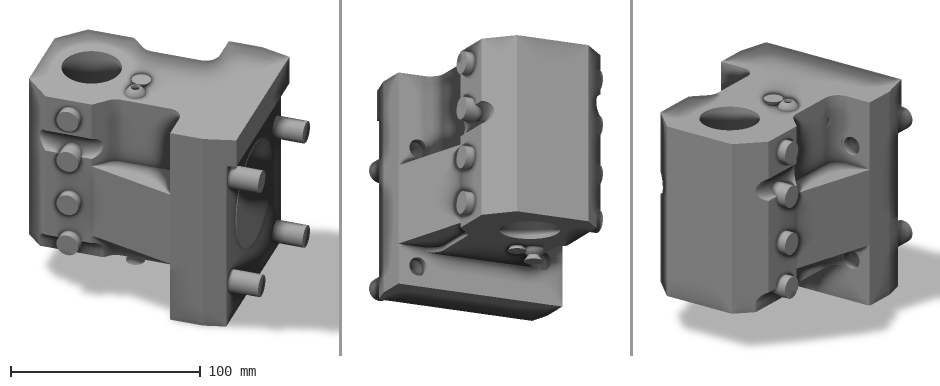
import cadquery as cq
import math

top_z = 116.5
body_bottom_z = 19.3
body_half_width = 34.8
nose_chamfer = 13.9

plate_front_x = 87.9
plate_taper_x = 106.2
plate_back_x = 118.1
plate_width = 96.0
plate_half_width = plate_width / 2
hook_back_x = 123.3
hook_bottom_z = 100.0
hook_half_width = 43.6

bore_x = 27.8
bore_diameter = 32.0

neck_start_x = 39.7
neck_half_width = 25.2
pocket_radius = 8.0

rib_height = 43.2
near_rib_bottom_z = 34.8
side_offset = 12.8

bolt_y = 36.5
bolt_diameter = 12.2
bolt_end_x = 135.0
near_bolt_heights = (23.8, 88.8)
far_bolt_heights = tuple(z - side_offset for z in near_bolt_heights)
bolt_hole_diameter = 10.1
bolt_hole_depth = 4.9
drill_point_height = 3.0
groove_radius = 6.5

seat_radius = 29.7
seat_height = 0.4
joint_overlap = 1.4

clamp_screw_diameter = 12.2
clamp_screw_projection = 5.1
clamp_screw_heights = (29.3, 54.4, 81.4, 106.5)
screw_embedment = 8.1

dowel_x = 79.9
dowel_z = 102.3
dowel_radius = 3.0

nozzle_x = 57.9
ball_y = -16.6
plug_y = -7.0
ball_radius = 5.8
ball_projection = 3.5
ball_flat_radius = 3.0
socket_radius = 2.4
socket_depth = 2.7
cone_rim_radius = 5.1
plug_root_radius = 3.5
top_plug_height = 2.8
bottom_plug_height = 2.3
ball_cone_height = 3.2


def plan_prism(points, bottom, top):
    """Extrude a closed plan outline between two heights."""
    return cq.Workplane("XY", origin=(0, 0, bottom)).polyline(points).close().extrude(top - bottom)


def rod_along_x(x_start, x_end, y, z, radius):
    return cq.Workplane("YZ", origin=(x_start, y, z)).circle(radius).extrude(x_end - x_start)


def cone_along_z(y, z, root_radius, rim_radius, height, direction):
    """Cone standing on height z, growing up (+1) or down (-1)."""
    solid = cq.Solid.makeCone(
        root_radius, rim_radius, height, cq.Vector(nozzle_x, y, z), cq.Vector(0, 0, direction)
    )
    return cq.Workplane(obj=solid)


def clamping_body():
    """Chamfered block with a waist between the clamping end and the flange."""
    waist_step = body_half_width - neck_half_width
    nose_half_width = body_half_width - nose_chamfer
    outline = [
        (0, -nose_half_width),
        (nose_chamfer, -body_half_width),
        (neck_start_x, -body_half_width),
        (neck_start_x + waist_step, -neck_half_width),
        (plate_front_x, -neck_half_width),
        (plate_front_x, -plate_half_width),
        (plate_taper_x, -plate_half_width),
    ]
    mirrored = [(x, -y) for x, y in reversed(outline)]
    body = plan_prism(outline + mirrored, body_bottom_z, top_z)
    margin = 1.4
    waist_corners = cq.selectors.BoxSelector(
        (neck_start_x + margin, -neck_half_width - margin, body_bottom_z),
        (plate_front_x + margin, neck_half_width + margin, top_z),
    )
    return body.edges("|Z").edges(waist_corners).fillet(pocket_radius)


def flange():
    """Mounting plate with tapered sides and a locating lip along its top."""
    outline = [
        (plate_front_x, -plate_half_width),
        (plate_taper_x, -plate_half_width),
        (hook_back_x, -hook_half_width),
    ]
    mirrored = [(x, -y) for x, y in reversed(outline)]
    plate = plan_prism(outline + mirrored, 0, top_z)
    below_hook = cq.Workplane("XY").box(
        hook_back_x - plate_back_x, 2 * plate_half_width, hook_bottom_z, centered=(False, True, False)
    )
    return plate.cut(below_hook.translate((plate_back_x, 0, 0)))


def rib(side, bottom):
    """Tapered web that fills one side pocket over part of its height."""
    outline = [
        (neck_start_x, side * body_half_width),
        (plate_front_x, side * plate_half_width),
        (plate_front_x, 0),
        (neck_start_x, 0),
    ]
    return plan_prism(outline, bottom, bottom + rib_height)


def access_groove(side, z):
    """Round groove along the body side, in line with a mounting bolt."""
    return rod_along_x(0, plate_front_x, side * bolt_y, z, groove_radius)


def bottom_groove_opening():
    """Opens the lowest -Y groove straight down through the body's lower face."""
    height = near_bolt_heights[0] - body_bottom_z
    width = 2 * groove_radius
    length = plate_front_x - pocket_radius
    opening = cq.Workplane("XY").box(length, width, height, centered=(False, True, False))
    return opening.translate((0, -bolt_y, body_bottom_z))


def bolt_hole(side, z):
    """Blind hole in the flange face, opposite a bolt, with a conical drill point."""
    radius = bolt_hole_diameter / 2
    y = side * bolt_y
    point_x = plate_front_x + bolt_hole_depth
    straight = rod_along_x(plate_front_x, point_x, y, z, radius)
    drill_point = cq.Solid.makeCone(
        radius, 0, drill_point_height, cq.Vector(point_x, y, z), cq.Vector(1, 0, 0)
    )
    return straight.union(cq.Workplane(obj=drill_point))


def clamp_screw(side, z):
    length = clamp_screw_projection + screw_embedment
    start_y = side * (body_half_width - screw_embedment)
    screw = cq.Workplane("XZ", origin=(bore_x, start_y, z)).circle(clamp_screw_diameter / 2)
    return screw.extrude(-side * length)


def nozzle_ball(surface_z, direction):
    """Ball sunk into a face, cut flat where it projects furthest."""
    center_height = ball_projection - math.sqrt(ball_radius**2 - ball_flat_radius**2)
    center_z = surface_z + direction * center_height
    ball = cq.Workplane("XY").sphere(ball_radius).translate((nozzle_x, ball_y, center_z))
    flat_z = surface_z + direction * ball_projection
    beyond = cq.Workplane("XY").box(4 * ball_radius, 4 * ball_radius, 2 * ball_radius)
    return ball.cut(beyond.translate((nozzle_x, ball_y, flat_z + direction * ball_radius)))


block = clamping_body().union(flange())
block = block.union(rib(-1, near_rib_bottom_z))
block = block.union(rib(1, near_rib_bottom_z - side_offset))

bore = cq.Workplane("XY").center(bore_x, 0).circle(bore_diameter / 2).extrude(top_z)
block = block.cut(bore)
bolt_positions = [(-1, z) for z in near_bolt_heights] + [(1, z) for z in far_bolt_heights]
for side, z in bolt_positions:
    block = block.cut(bolt_hole(side, z))
    if z > body_bottom_z:
        block = block.cut(access_groove(side, z))
block = block.cut(bottom_groove_opening())

dowel_hole = cq.Workplane("XZ", origin=(dowel_x, -neck_half_width, dowel_z)).circle(dowel_radius)
block = block.cut(dowel_hole.extrude(pocket_radius))

joint_x = plate_back_x - joint_overlap
for side, z in bolt_positions:
    bolt = rod_along_x(joint_x, bolt_end_x, side * bolt_y, z, bolt_diameter / 2)
    block = block.union(bolt)
seat_z = sum(near_bolt_heights) / 2
block = block.union(rod_along_x(joint_x, plate_back_x + seat_height, 0, seat_z, seat_radius))

for side in (-1, 1):
    for z in clamp_screw_heights:
        block = block.union(clamp_screw(side, z))

block = block.union(nozzle_ball(top_z, 1))
block = block.union(nozzle_ball(body_bottom_z, -1))
block = block.union(cone_along_z(plug_y, top_z, plug_root_radius, cone_rim_radius, top_plug_height, 1))
block = block.union(
    cone_along_z(plug_y, body_bottom_z, plug_root_radius, cone_rim_radius, bottom_plug_height, -1)
)
ball_flat_z = body_bottom_z - ball_projection
block = block.union(
    cone_along_z(ball_y, ball_flat_z, ball_flat_radius, cone_rim_radius, ball_cone_height, -1)
)
socket = cq.Workplane("XY", origin=(nozzle_x, ball_y, top_z + ball_projection)).circle(socket_radius)
result = block.cut(socket.extrude(-socket_depth))